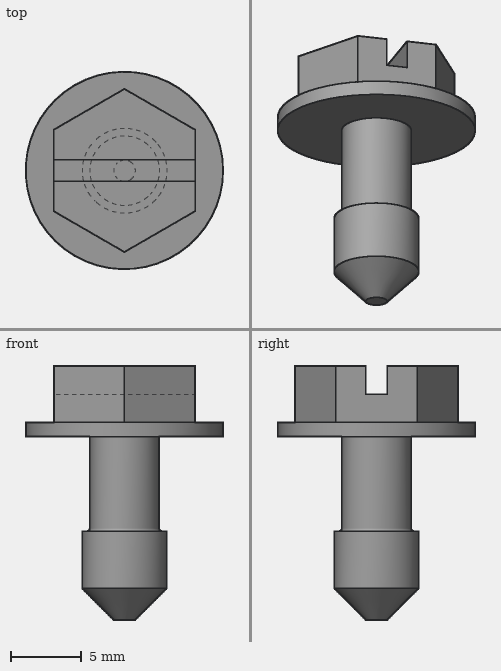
import cadquery as cq

total_height = 18.0
head_height = 4.0
flange_thickness = 1.0
collar_height = 4.05
tip_height = 2.25

flange_diameter = 14.0
head_across_flats = 10.0
shank_diameter = 4.93
collar_diameter = 6.01
tip_diameter = 1.51
neck_fillet = 0.2

slot_width = 1.5
slot_depth = 2.0

collar_top = tip_height + collar_height
head_bottom = total_height - head_height
flange_bottom = head_bottom - flange_thickness


def make_body():
    """Revolve the pointed collar, filleted shank and flange about Z."""
    shank_radius = shank_diameter / 2
    neck_fillet_center = (shank_radius + neck_fillet, collar_top + neck_fillet)
    neck_fillet_middle = (
        neck_fillet_center[0] - neck_fillet * 0.5**0.5,
        neck_fillet_center[1] - neck_fillet * 0.5**0.5,
    )
    return (
        cq.Workplane("XZ")
        .lineTo(tip_diameter / 2, 0)
        .lineTo(collar_diameter / 2, tip_height)
        .lineTo(collar_diameter / 2, collar_top)
        .lineTo(neck_fillet_center[0], collar_top)
        .threePointArc(neck_fillet_middle, (shank_radius, neck_fillet_center[1]))
        .lineTo(shank_radius, flange_bottom)
        .lineTo(flange_diameter / 2, flange_bottom)
        .lineTo(flange_diameter / 2, head_bottom)
        .lineTo(0, head_bottom)
        .close()
        .revolve(360, (0, 0, 0), (0, 1, 0))
    )


def make_head():
    """Hexagonal head with flats facing +X and -X, slotted along X."""
    across_corners = head_across_flats * 2 / 3**0.5
    hexagon = (
        cq.Workplane("XY")
        .workplane(offset=head_bottom)
        .transformed(rotate=(0, 0, 90))
        .polygon(6, across_corners)
        .extrude(head_height)
    )
    slot = (
        cq.Workplane("XY")
        .workplane(offset=total_height - slot_depth)
        .rect(flange_diameter, slot_width)
        .extrude(slot_depth)
    )
    return hexagon.cut(slot)


result = make_body().union(make_head())